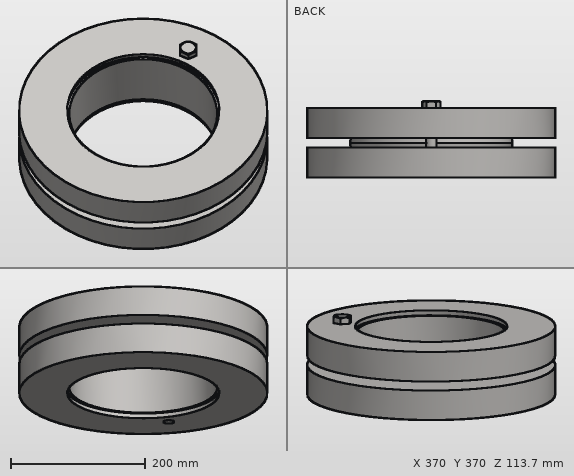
import cadquery as cq
import math

FLANGE_DIAMETER = 370.0
FLANGE_THICKNESS = 45.0
FLANGE_GAP = 13.7
MID_HEIGHT = FLANGE_THICKNESS + FLANGE_GAP / 2
UPPER_FLANGE_BASE = FLANGE_THICKNESS + FLANGE_GAP
UPPER_FLANGE_TOP = UPPER_FLANGE_BASE + FLANGE_THICKNESS

RING_BORE_DIAMETER = 220.0
FLANGE_MOUTH_DIAMETER = 226.5
RING_MAX_DIAMETER = 242.7
RING_RECESS = 7.8

BOLT_OFFSET = 135.0
SHANK_DIAMETER = 16.0
HEAD_ACROSS_FLATS = 24.0
HEAD_HEIGHT = 10.0
HEAD_CROWN_DIAMETER = 23.3
HEAD_CHAMFER_ANGLE = 30.0


def taper_radius(distance):
    """Radius of the shared taper at a given distance from mid height."""
    slope = (RING_MAX_DIAMETER - FLANGE_MOUTH_DIAMETER) / 2 / MID_HEIGHT
    return RING_MAX_DIAMETER / 2 - slope * distance


def revolve_outline(points):
    """Turn a closed radius-height outline about the Z axis."""
    return cq.Workplane("XZ").polyline(points).close().revolve(360, (0, 0), (0, 1))


def vertical_cylinder(diameter, base, top):
    """Cylinder on the bolt axis between two heights."""
    return (
        cq.Workplane("XY", origin=(0, BOLT_OFFSET, base))
        .circle(diameter / 2)
        .extrude(top - base)
    )


def make_flange(outer_face, inner_face):
    """Disc with a tapered bore, narrowest at its outer face, and a bolt hole."""
    outer_radius = FLANGE_DIAMETER / 2
    disc = revolve_outline([
        (outer_radius, outer_face),
        (outer_radius, inner_face),
        (taper_radius(FLANGE_GAP / 2), inner_face),
        (taper_radius(MID_HEIGHT), outer_face),
    ])
    bolt_hole = vertical_cylinder(SHANK_DIAMETER, 0, UPPER_FLANGE_TOP)
    return disc.cut(bolt_hole)


def make_seal_ring():
    """Ring with a straight bore and an outside tapering to both ends."""
    half_height = MID_HEIGHT - RING_RECESS
    bore_radius = RING_BORE_DIAMETER / 2
    end_radius = taper_radius(half_height)
    return revolve_outline([
        (bore_radius, MID_HEIGHT - half_height),
        (end_radius, MID_HEIGHT - half_height),
        (taper_radius(0), MID_HEIGHT),
        (end_radius, MID_HEIGHT + half_height),
        (bore_radius, MID_HEIGHT + half_height),
    ])


def make_bolt():
    """Bolt through both flanges, its hexagon head with corners along X."""
    across_corners = HEAD_ACROSS_FLATS / math.cos(math.pi / 6)
    head = (
        cq.Workplane("XY", origin=(0, BOLT_OFFSET, UPPER_FLANGE_TOP))
        .polygon(6, across_corners)
        .extrude(HEAD_HEIGHT)
    )

    crown_radius = HEAD_CROWN_DIAMETER / 2
    cone_slope = math.tan(math.radians(HEAD_CHAMFER_ANGLE))
    base_radius = crown_radius + HEAD_HEIGHT / cone_slope
    head_top = UPPER_FLANGE_TOP + HEAD_HEIGHT
    trimming_cone = revolve_outline([
        (0, UPPER_FLANGE_TOP),
        (base_radius, UPPER_FLANGE_TOP),
        (crown_radius, head_top),
        (0, head_top),
    ]).translate((0, BOLT_OFFSET, 0))

    shank = vertical_cylinder(SHANK_DIAMETER, 0, UPPER_FLANGE_TOP)
    return head.intersect(trimming_cone).union(shank)


FLANGE_FACES = [
    (0, FLANGE_THICKNESS),
    (UPPER_FLANGE_TOP, UPPER_FLANGE_BASE),
]
flanges = [make_flange(outer_face, inner_face) for outer_face, inner_face in FLANGE_FACES]
seal_ring = make_seal_ring()
bolt = make_bolt()

result = cq.Compound.makeCompound([
    *[flange.val() for flange in flanges],
    seal_ring.val(),
    bolt.val(),
])